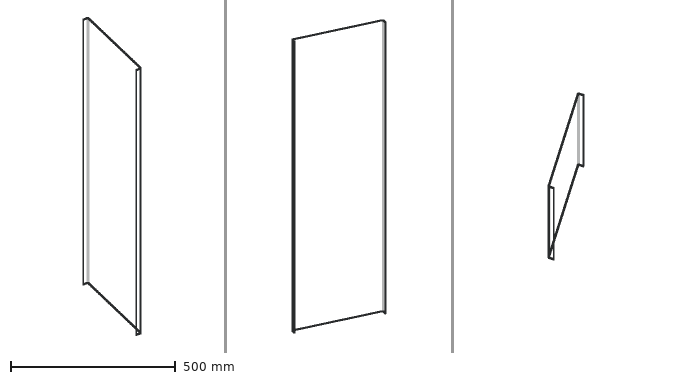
import cadquery as cq

width = 305.0
depth = 18.0
height = 1000.0

sheet = 2.5
inner_bend_radius = 2.0
outer_bend_radius = inner_bend_radius + sheet

envelope = cq.Workplane("XY").box(width, depth, height).edges("|Z and >Y").fillet(outer_bend_radius)

channel = (
    cq.Workplane("XY")
    .box(width - 2 * sheet, depth - sheet, height)
    .edges("|Z and >Y")
    .fillet(inner_bend_radius)
    .translate((0, -sheet / 2, 0))
)

result = envelope.cut(channel)